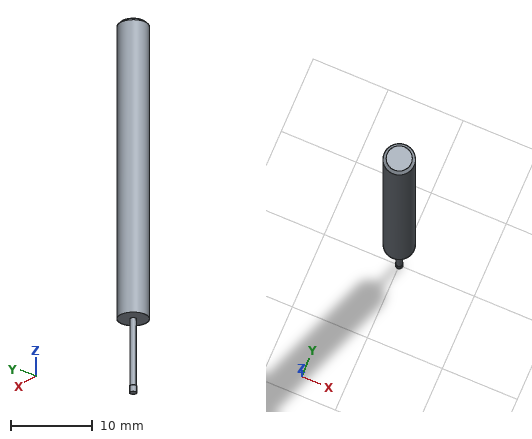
import cadquery as cq

total_length = 50.0
shank_diameter = 4.0
shank_length = 40.0
shank_chamfer = 0.4
neck_diameter = 0.8
tip_diameter = 0.9
tip_length = 0.9

neck_length = total_length - shank_length - tip_length

tip = cq.Workplane("XY").circle(tip_diameter / 2).extrude(tip_length)

neck = tip.faces(">Z").workplane().circle(neck_diameter / 2).extrude(neck_length)

shank = (
    cq.Workplane("XY", origin=(0, 0, total_length - shank_length))
    .circle(shank_diameter / 2)
    .extrude(shank_length)
    .faces(">Z")
    .chamfer(shank_chamfer)
)

result = neck.union(shank)